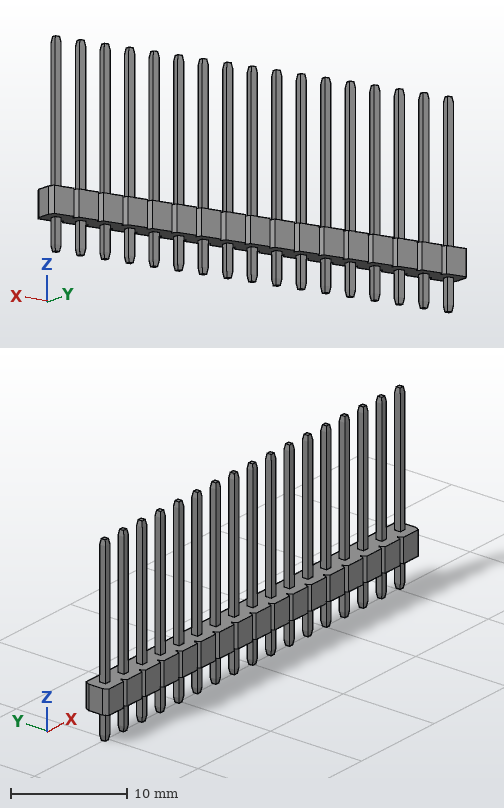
import cadquery as cq

pin_count = 17
pitch = 2.54

body_depth = 2.5
body_height = 2.5
corner_run = 0.25
corner_inset = 0.5

pin_width = 0.64
pin_length = 19.0
tail_length = 3.0
tip_length = 0.55
tip_width = 0.44

row_length = pin_count * pitch
pin_positions = [
    ((index - (pin_count - 1) / 2) * pitch, 0) for index in range(pin_count)
]


def make_body():
    """Strip with bevelled ends and a V-notch pair between neighbouring pins."""
    half_length = row_length / 2
    half_depth = body_depth / 2
    flank = half_depth - corner_inset

    front_edge = []
    for index in range(pin_count):
        cell_start = -half_length + index * pitch
        cell_end = cell_start + pitch
        front_edge += [
            (cell_start, -flank),
            (cell_start + corner_run, -half_depth),
            (cell_end - corner_run, -half_depth),
        ]
    front_edge.append((half_length, -flank))
    back_edge = [(x, -y) for x, y in reversed(front_edge)]

    return cq.Workplane("XY").polyline(front_edge + back_edge).close().extrude(body_height)


def make_tip(base_z, direction):
    """Square pyramid frustum at each pin end; direction is +1 up or -1 down."""
    return (
        cq.Workplane("XY", origin=(0, 0, base_z))
        .rect(pin_width, pin_width)
        .workplane(offset=direction * tip_length)
        .rect(tip_width, tip_width)
        .loft(ruled=True)
    )


def make_pin():
    """Square pin centred on the Z axis, tapered at both ends."""
    shank_bottom = -tail_length + tip_length
    shank_length = pin_length - 2 * tip_length
    shank = (
        cq.Workplane("XY", origin=(0, 0, shank_bottom))
        .rect(pin_width, pin_width)
        .extrude(shank_length)
    )
    top_tip = make_tip(shank_bottom + shank_length, 1)
    bottom_tip = make_tip(shank_bottom, -1)
    return shank.union(top_tip).union(bottom_tip)


pin = make_pin().val()
result = make_body()
for x, y in pin_positions:
    result = result.union(cq.Workplane(obj=pin.translate(cq.Vector(x, y, 0))))